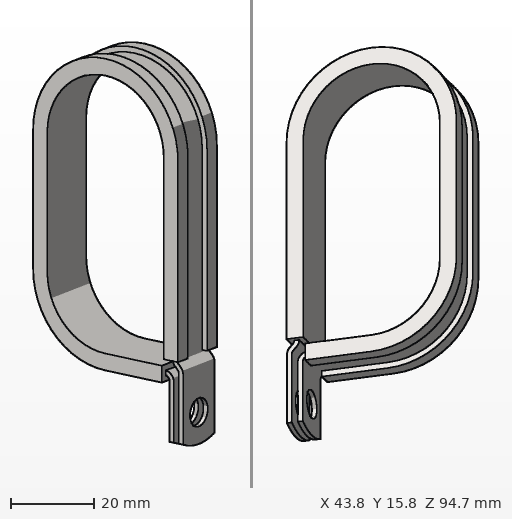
import math

import cadquery as cq

band_width = 15.75
outer_radius = 21.7
wall = 4.27
band_height = 78.3
right_leg_length = 72.3
bottom_leg_reach = 38.6

groove_width = 7.7
groove_depth = 1.45

strap_width = 12.75
strap_thickness = 1.27
total_height = 94.68
total_length = 43.83
bend_inner_radius = 1.15
jog_angle = math.radians(45)
tab_end_radius = 15.6
hole_diameter = 7.1
hole_to_tip = 8.0

top_z = outer_radius
band_bottom_z = top_z - band_height
tip_z = top_z - total_height
lower_centre_z = band_bottom_z + outer_radius
right_end_z = top_z - right_leg_length
bottom_end_x = bottom_leg_reach - outer_radius
outer_tab_x = total_length - outer_radius


def extrude_centred(profile, width):
    """Extrude an XZ profile to a width that is symmetric about Y = 0."""
    return profile.extrude(width / 2, both=True)


def band_profile(outside, inside):
    """Band section between two radii, measured from the centres of its round corners."""
    diagonal = math.sqrt(0.5)
    return (
        cq.Workplane("XZ")
        .moveTo(outside, right_end_z)
        .lineTo(outside, 0)
        .threePointArc((0, outside), (-outside, 0))
        .lineTo(-outside, lower_centre_z)
        .threePointArc(
            (-outside * diagonal, lower_centre_z - outside * diagonal),
            (0, lower_centre_z - outside),
        )
        .lineTo(bottom_end_x, lower_centre_z - outside)
        .lineTo(bottom_end_x, lower_centre_z - inside)
        .lineTo(0, lower_centre_z - inside)
        .threePointArc(
            (-inside * diagonal, lower_centre_z - inside * diagonal),
            (-inside, lower_centre_z),
        )
        .lineTo(-inside, 0)
        .threePointArc((0, inside), (inside, 0))
        .lineTo(inside, right_end_z)
        .close()
    )


def cushion_band():
    """Band with the strap groove running around its outside."""
    band = extrude_centred(band_profile(outer_radius, outer_radius - wall), band_width)
    groove = extrude_centred(band_profile(outer_radius, outer_radius - groove_depth), groove_width)
    return band.cut(groove)


def inner_tab():
    """Strap leaving the bottom leg and bending straight down."""
    bend_outer_radius = bend_inner_radius + strap_thickness
    strap_lower_z = band_bottom_z + groove_depth
    bend_centre_z = strap_lower_z - bend_inner_radius
    profile = (
        cq.Workplane("XZ")
        .moveTo(bottom_end_x, strap_lower_z + strap_thickness)
        .radiusArc((bottom_end_x + bend_outer_radius, bend_centre_z), bend_outer_radius)
        .lineTo(bottom_end_x + bend_outer_radius, tip_z)
        .lineTo(bottom_end_x + bend_inner_radius, tip_z)
        .lineTo(bottom_end_x + bend_inner_radius, bend_centre_z)
        .radiusArc((bottom_end_x, strap_lower_z), -bend_inner_radius)
        .close()
    )
    return extrude_centred(profile, strap_width)


def outer_tab():
    """Strap leaving the right leg, jogging outward and continuing straight down."""
    jog_outer_radius = bend_inner_radius + strap_thickness
    start_right_x = outer_radius - groove_depth
    start_left_x = start_right_x - strap_thickness
    end_left_x = outer_tab_x - strap_thickness
    sine = math.sin(jog_angle)
    cosine = math.cos(jog_angle)
    radius_sum = bend_inner_radius + jog_outer_radius
    slope_length = (outer_tab_x - start_right_x - radius_sum * (1 - cosine)) / sine
    jog_end_z = right_end_z - radius_sum * sine - slope_length * cosine

    def upper_bend_end(start_x, radius):
        return (start_x + radius * (1 - cosine), right_end_z - radius * sine)

    def lower_bend_start(end_x, radius):
        return (end_x - radius * (1 - cosine), jog_end_z + radius * sine)

    profile = (
        cq.Workplane("XZ")
        .moveTo(start_left_x, right_end_z)
        .radiusArc(upper_bend_end(start_left_x, jog_outer_radius), -jog_outer_radius)
        .lineTo(*lower_bend_start(end_left_x, bend_inner_radius))
        .radiusArc((end_left_x, jog_end_z), bend_inner_radius)
        .lineTo(end_left_x, tip_z)
        .lineTo(outer_tab_x, tip_z)
        .lineTo(outer_tab_x, jog_end_z)
        .radiusArc(lower_bend_start(outer_tab_x, jog_outer_radius), -jog_outer_radius)
        .lineTo(*upper_bend_end(start_right_x, bend_inner_radius))
        .radiusArc((start_right_x, right_end_z), bend_inner_radius)
        .close()
    )
    return extrude_centred(profile, strap_width)


def tab_outline():
    """Block along X with the tabs' rounded tip and bolt hole, for trimming both tabs at once."""
    half_width = strap_width / 2
    tip_rise = tab_end_radius - math.sqrt(tab_end_radius**2 - half_width**2)
    outline = (
        cq.Workplane("YZ")
        .moveTo(-half_width, 0)
        .lineTo(-half_width, tip_z + tip_rise)
        .threePointArc((0, tip_z), (half_width, tip_z + tip_rise))
        .lineTo(half_width, 0)
        .close()
        .extrude(total_length)
    )
    hole = (
        cq.Workplane("YZ")
        .center(0, tip_z + hole_to_tip)
        .circle(hole_diameter / 2)
        .extrude(total_length)
    )
    return outline.cut(hole)


tabs = inner_tab().union(outer_tab()).intersect(tab_outline())
result = cushion_band().union(tabs)